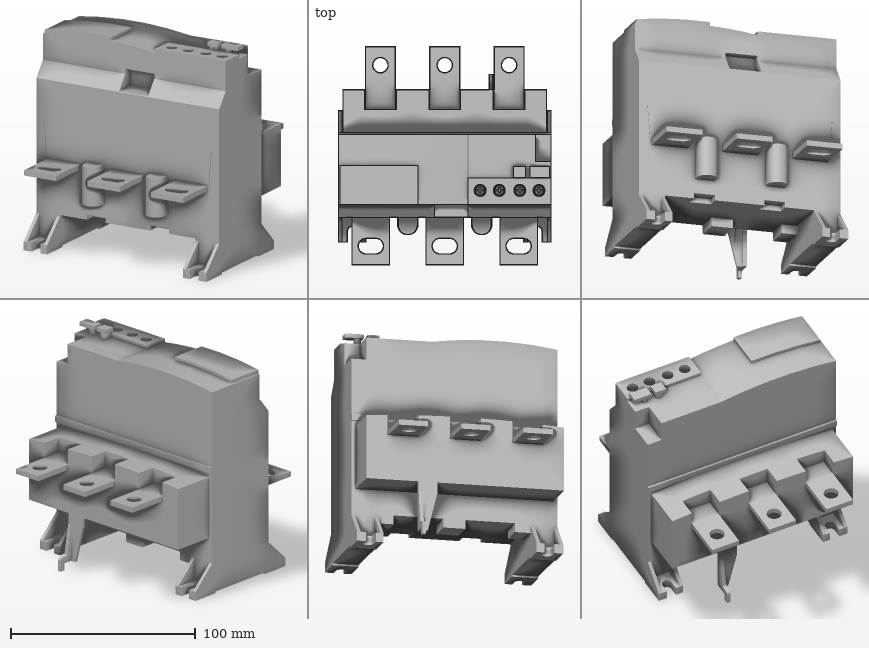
import cadquery as cq


width = 115.0
half_width = width / 2
body_depth = 44.8
body_bottom = 18.8
shoulder_z = 94.1
upper_front_z = 102.6
upper_front_y = 6.9
deck_z = 117.3
ridge_y = 1.1
ridge_bottom = 70.2
ridge_height = 3.6

cover_right = 12.6
cover_mid = (cover_right - half_width) / 2
cover_rise = 2.7
cover_overlap = 1.2
panel_left = -56.5
panel_right = -14.6
panel_back = 28.1
panel_thickness = 2.1

block_top = 119.4
block_back = 21.2
screw_xs = (19.1, 29.5, 40.6, 51.0)
screw_y = 14.6
screw_hole_diameter = 6.4
screw_hole_depth = 9.9
screw_head_diameter = 5.2
screw_head_height = 2.5
drive_depth = 1.0
drive_slot_width = 0.9
drive_cross_width = 1.1
drive_cross_length = 3.0

corner_left = 49.1
corner_front = 30.2
corner_depth = 12.3

button_top = 123.5
button_thickness = 2.2
button_front = 21.6
button_back = 27.7
reset_left, reset_right = 46.2, 56.5
reset_stem_x = 49.1
reset_stem_diameter = 4.0
test_left, test_right = 37.3, 43.7
test_stem_width = 4.5
test_stem_front = 22.6

window_left = -5.7
window_bottom = 94.5
window_top = 105.4
window_back = 12.7

rear_half_width = 55.2
rear_back = 69.1
rear_bottom = 32.2
rear_side_top = 67.4
rear_mid_top = 69.6

bar_thickness = 3.0
rear_pitch = 34.8
rear_bar_width = 16.3
rear_bar_end = 92.3
rear_bar_bottom = 57.0
rear_slot_width = 17.2
rear_slot_front = 58.3
rear_hole_diameter = 8.1
rear_hole_y = 82.3
front_pitch = 40.0
front_bar_width = 20.4
front_bar_end = -25.7
front_bar_bottom = 46.7
front_slot_length = 13.6
front_slot_width = 8.4
front_slot_y = -15.5
bar_gap = 0.5
bar_gap_depth = 1.2

post_x = front_pitch / 2
post_width = 11.1
post_reach = 9.4
post_bottom = 29.8
post_shoulder = 50.0
post_top = 51.5
post_top_width = 10.2

seam_top_x = 52.5
seam_bottom_x = 51.0
seam_top_z = 69.7
seam_bottom_z = 50.0
seam_width = 0.4
seam_depth = 0.4

foot_width = 14.8
foot_reach = 13.5
rear_foot_reach = 13.0
foot_thickness = 5.0
foot_rib_top = 17.8
foot_rib_thickness = 2.0
foot_slot_x = 49.9
foot_slot_width = 5.5
foot_slot_reach = 4.9
relief_front = 3.0
relief_back = 41.8
relief_height = 1.0

notch_width = 11.9
notch_height = 3.0
notch_depth = 7.4
pad_bottom = 13.8
pad_front = 29.6
middle_pad_width = 12.3
side_pad_width = 8.9

bracket_right = 26.0
bracket_blade_left = 24.0
bracket_bottom = 5.0
bracket_plate_front = 67.5
bracket_blade_front = 66.0
bracket_bend_z = 26.0
bracket_left = 15.7
bracket_taper_left = 21.0
hook_inner_y = 74.5
hook_outer_y = 77.4
hook_tip_z = 1.0
hook_top_z = 8.3
hook_corner = 1.2
hook_slope = 0.5
hook_root_y = 73.2
blade_foot_y = 72.1
blade_foot_z = 9.9
rib_bend_z = 30.9
rib_left = 19.5
rib_right = 20.5
rib_front = 62.6


def box(x0, x1, y0, y1, z0, z1):
    """Block between two opposite corners."""
    return cq.Workplane("XY").box(x1 - x0, y1 - y0, z1 - z0, centered=False).translate((x0, y0, z0))


def along_x(outline, x0, x1):
    """Closed (y, z) outline extruded from x0 to x1."""
    return cq.Workplane("YZ", origin=(x0, 0, 0)).polyline(outline).close().extrude(x1 - x0)


def mirrored(shape):
    """Shape together with its copy on the other side of the YZ plane."""
    return shape.union(shape.mirror("YZ"))


def make_housing():
    outline = [
        (0, body_bottom),
        (0, shoulder_z),
        (upper_front_y, upper_front_z),
        (upper_front_y, deck_z),
        (body_depth, deck_z),
        (body_depth, body_bottom),
    ]
    housing = along_x(outline, -half_width, half_width)
    ridge = box(-half_width, half_width, body_depth, body_depth + ridge_y,
                ridge_bottom, ridge_bottom + ridge_height)
    window = box(window_left, cover_right, 0, window_back, window_bottom, window_top)
    corner = box(corner_left, half_width, corner_front, body_depth, deck_z - corner_depth, deck_z)
    return housing.cut(corner).union(ridge).cut(window)


def cover_layer(lift, back):
    """Solid from below the deck surface up to the cover arc raised by lift."""
    return (
        cq.Workplane("XZ", origin=(0, upper_front_y, 0))
        .moveTo(-half_width, deck_z - cover_overlap)
        .lineTo(-half_width, deck_z + lift)
        .threePointArc((cover_mid, deck_z + cover_rise + lift), (cover_right, deck_z + lift))
        .lineTo(cover_right, deck_z - cover_overlap)
        .close()
        .extrude(upper_front_y - back)
    )


def make_cover():
    panel_limits = box(panel_left, panel_right, upper_front_y, panel_back,
                       deck_z - cover_overlap, button_top)
    panel = cover_layer(panel_thickness, panel_back).intersect(panel_limits)
    return cover_layer(0, body_depth).union(panel)


def make_terminal_block():
    return box(cover_right, half_width, upper_front_y, block_back, deck_z, block_top)


def make_screw_holes():
    """Screw wells, each leaving a slotted cross-head screw standing in it."""
    wells = cq.Workplane("XY")
    well_bottom = block_top - screw_hole_depth
    for x in screw_xs:
        base = cq.Workplane("XY", origin=(x, screw_y, well_bottom))
        well = base.circle(screw_hole_diameter / 2).extrude(screw_hole_depth)
        head = base.circle(screw_head_diameter / 2).extrude(screw_head_height)
        drive_base = base.workplane(offset=screw_head_height - drive_depth)
        slot = drive_base.rect(screw_head_diameter, drive_slot_width).extrude(drive_depth)
        cross = drive_base.rect(drive_cross_width, drive_cross_length).extrude(drive_depth)
        wells = wells.union(well.cut(head.cut(slot).cut(cross)))
    return wells


def make_buttons():
    head_bottom = button_top - button_thickness
    stem_height = head_bottom - deck_z
    reset_head = box(reset_left, reset_right, button_front, button_back, head_bottom, button_top)
    reset_stem = (
        cq.Workplane("XY", origin=(reset_stem_x, (button_front + button_back) / 2, deck_z))
        .circle(reset_stem_diameter / 2)
        .extrude(stem_height)
    )
    test_head = box(test_left, test_right, button_front, button_back, head_bottom, button_top)
    test_radius = test_stem_width / 2
    test_stem = (
        cq.Workplane("XY", origin=((test_left + test_right) / 2, test_stem_front, deck_z))
        .moveTo(-test_radius, 0)
        .lineTo(-test_radius, test_radius)
        .threePointArc((0, test_stem_width), (test_radius, test_radius))
        .lineTo(test_radius, 0)
        .close()
        .extrude(stem_height)
    )
    return reset_head.union(reset_stem).union(test_head).union(test_stem)


def make_rear_block():
    block = (
        cq.Workplane("XZ", origin=(0, body_depth, 0))
        .moveTo(-rear_half_width, rear_bottom)
        .lineTo(-rear_half_width, rear_side_top)
        .threePointArc((0, rear_mid_top), (rear_half_width, rear_side_top))
        .lineTo(rear_half_width, rear_bottom)
        .close()
        .extrude(body_depth - rear_back)
    )
    for x in (-rear_pitch, 0, rear_pitch):
        half_slot = rear_slot_width / 2
        slot = box(x - half_slot, x + half_slot, rear_slot_front, rear_back, rear_bar_bottom, rear_mid_top)
        bar = box(x - rear_bar_width / 2, x + rear_bar_width / 2, body_depth, rear_bar_end,
                  rear_bar_bottom, rear_bar_bottom + bar_thickness)
        hole = (
            cq.Workplane("XY", origin=(x, rear_hole_y, rear_bar_bottom))
            .circle(rear_hole_diameter / 2)
            .extrude(bar_thickness)
        )
        block = block.cut(slot).union(bar.cut(hole))
    return block


def add_front_terminals(body):
    bar_top = front_bar_bottom + bar_thickness
    for x in (-front_pitch, 0, front_pitch):
        left = x - front_bar_width / 2
        right = x + front_bar_width / 2
        gap = box(left, right, 0, bar_gap_depth, bar_top, bar_top + bar_gap)
        bar = box(left, right, front_bar_end, bar_gap_depth, front_bar_bottom, bar_top)
        hole = (
            cq.Workplane("XY", origin=(x, front_slot_y, front_bar_bottom))
            .slot2D(front_slot_length, front_slot_width)
            .extrude(bar_thickness)
        )
        body = body.cut(gap).union(bar.cut(hole))
    return body


def make_post(post_section_width, z0, z1):
    """Post section with flat sides and a half-round nose."""
    radius = post_section_width / 2
    return (
        cq.Workplane("XY", origin=(post_x, 0, z0))
        .moveTo(-radius, 0)
        .lineTo(-radius, radius - post_reach)
        .threePointArc((0, -post_reach), (radius, radius - post_reach))
        .lineTo(radius, 0)
        .close()
        .extrude(z1 - z0)
    )


def make_posts():
    shaft = make_post(post_width, post_bottom, post_shoulder)
    cap = make_post(post_top_width, post_shoulder, post_top)
    return mirrored(shaft.union(cap))


def make_seams():
    seam = (
        cq.Workplane("XZ")
        .polyline([
            (seam_top_x, seam_top_z),
            (seam_top_x + seam_width, seam_top_z),
            (seam_bottom_x + seam_width, seam_bottom_z),
            (seam_bottom_x, seam_bottom_z),
        ])
        .close()
        .extrude(-seam_depth)
    )
    return mirrored(seam)


def make_feet():
    foot_front = -foot_reach
    foot_back = body_depth + rear_foot_reach
    inner = half_width - foot_width
    outline = [
        (foot_front, 0),
        (foot_front, foot_thickness),
        (0, foot_rib_top),
        (0, body_bottom),
        (body_depth, body_bottom),
        (body_depth, foot_rib_top),
        (foot_back, foot_thickness),
        (foot_back, 0),
        (relief_back, 0),
        (relief_back, relief_height),
        (relief_front, relief_height),
        (relief_front, 0),
    ]
    foot = along_x(outline, inner, half_width)
    for y_end, y_near in ((foot_front, 0), (foot_back, body_depth)):
        slot_length = abs(y_end - y_near) - foot_slot_reach
        bay = box(inner + foot_rib_thickness, half_width - foot_rib_thickness,
                  min(y_end, y_near), max(y_end, y_near), foot_thickness, body_bottom)
        slot = (
            cq.Workplane("XY", origin=(foot_slot_x, y_end, 0))
            .slot2D(2 * slot_length, foot_slot_width, 90)
            .extrude(foot_thickness)
        )
        foot = foot.cut(bay).cut(slot)
    return mirrored(foot)


def make_notches():
    half_notch = notch_width / 2
    notch = box(post_x - half_notch, post_x + half_notch, 0, notch_depth,
                body_bottom, body_bottom + notch_height)
    return mirrored(notch)


def make_pads():
    half_pad = middle_pad_width / 2
    middle = box(-half_pad, half_pad, pad_front, body_depth, pad_bottom, body_bottom)
    side_right = half_width - foot_width
    side = box(side_right - side_pad_width, side_right, pad_front, body_depth, pad_bottom, body_bottom)
    return middle.union(mirrored(side))


def make_bracket():
    blade = (
        cq.Workplane("YZ", origin=(bracket_blade_left, 0, 0))
        .moveTo(bracket_blade_front, rear_bottom)
        .lineTo(bracket_blade_front, bracket_bottom)
        .lineTo(hook_inner_y, bracket_bottom)
        .lineTo(hook_inner_y, hook_tip_z)
        .lineTo(hook_outer_y, hook_tip_z)
        .lineTo(hook_outer_y, hook_top_z - hook_corner)
        .tangentArcPoint((hook_outer_y - hook_corner, hook_top_z), relative=False)
        .lineTo(hook_root_y, hook_top_z + hook_slope)
        .tangentArcPoint((blade_foot_y, blade_foot_z), relative=False)
        .lineTo(rear_back, bracket_bend_z)
        .lineTo(rear_back, rear_bottom)
        .close()
        .extrude(bracket_right - bracket_blade_left)
    )
    plate = (
        cq.Workplane("XZ", origin=(0, bracket_plate_front, 0))
        .polyline([
            (bracket_left, rear_bottom),
            (bracket_left, bracket_bend_z),
            (bracket_taper_left, bracket_bottom),
            (bracket_right, bracket_bottom),
            (bracket_right, rear_bottom),
        ])
        .close()
        .extrude(bracket_plate_front - rear_back)
    )
    rib_outline = [
        (rib_front, rear_bottom),
        (rib_front, rib_bend_z),
        (bracket_plate_front, pad_bottom),
        (bracket_plate_front, rear_bottom),
    ]
    return blade.union(plate).union(along_x(rib_outline, rib_left, rib_right))


body = make_housing().union(make_cover()).union(make_terminal_block())
body = body.cut(make_screw_holes()).union(make_buttons())
body = body.union(make_rear_block()).union(make_bracket())
body = body.union(make_feet()).union(make_pads()).cut(make_notches())
body = add_front_terminals(body).union(make_posts())
result = body.cut(make_seams())